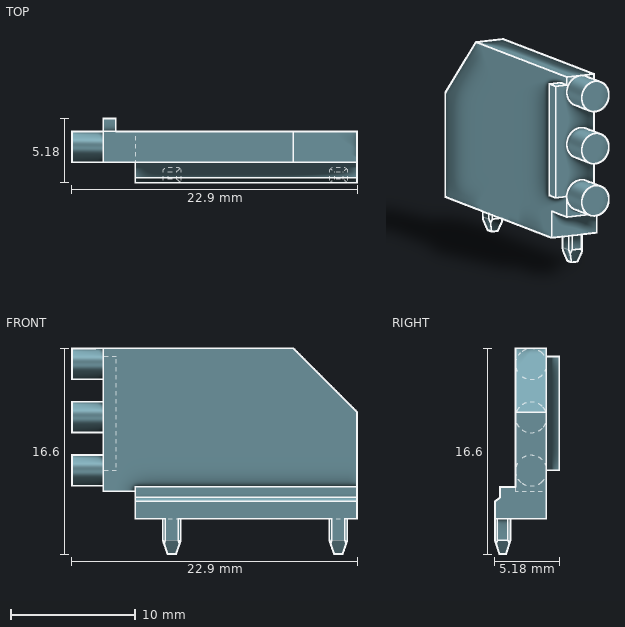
import cadquery as cq

total_length = 22.95

plate_left = 2.5
plate_depth = 2.5
plate_bottom = 2.2
plate_top = 13.72
corner_cut = 5.15

pipe_diameter = plate_depth
pipe_pitch = 4.3
pipe_count = 3
top_pipe_z = plate_top - pipe_diameter / 2
bottom_pipe_z = top_pipe_z - (pipe_count - 1) * pipe_pitch

rib_size = 1.03
rib_height = 9.18

foot_left = 5.07
foot_top = 2.57
ledge_depth = 1.25
foot_overhang = 1.65
ledge_bottom = 1.72
slope_bottom = 1.4

pin_x_centres = (8.03, 21.43)
pin_width = 1.47
pin_depth = 1.26
pin_corner = 0.2
pin_length = 2.85
tip_length = 1.12
tip_width = 0.69
tip_depth = 0.55


def make_plate():
    return (
        cq.Workplane("XY")
        .box(total_length - plate_left, plate_depth, plate_top - plate_bottom, centered=False)
        .translate((plate_left, 0, plate_bottom))
        .edges(">X and >Z")
        .chamfer(corner_cut)
    )


def make_pipe(centre_z):
    return (
        cq.Workplane("YZ")
        .center(plate_depth / 2, centre_z)
        .circle(pipe_diameter / 2)
        .extrude(plate_left)
    )


def make_rib():
    return (
        cq.Workplane("XY")
        .box(rib_size, rib_size, rib_height, centered=False)
        .translate((plate_left, plate_depth, bottom_pipe_z))
    )


def make_foot():
    profile = [
        (plate_depth, 0),
        (plate_depth, foot_top),
        (-ledge_depth, foot_top),
        (-ledge_depth, ledge_bottom),
        (-foot_overhang, slope_bottom),
        (-foot_overhang, 0),
    ]
    return (
        cq.Workplane("YZ", origin=(foot_left, 0, 0))
        .polyline(profile)
        .close()
        .extrude(total_length - foot_left)
    )


def make_pin(centre_x):
    shank_length = pin_length - tip_length
    shank = cq.Workplane("XY").rect(pin_width, pin_depth).extrude(-shank_length)
    tip = (
        cq.Workplane("XY", origin=(0, 0, -shank_length))
        .rect(pin_width, pin_depth)
        .workplane(offset=-tip_length)
        .rect(tip_width, tip_depth)
        .loft()
    )
    bar = (
        cq.Workplane("XY")
        .rect(pin_width, pin_depth)
        .extrude(-pin_length)
        .edges("|Z")
        .chamfer(pin_corner)
    )
    pin = shank.union(tip).intersect(bar)
    return pin.translate((centre_x, pin_depth / 2 - foot_overhang, 0))


result = make_plate().union(make_foot()).union(make_rib())
for index in range(pipe_count):
    result = result.union(make_pipe(bottom_pipe_z + index * pipe_pitch))
for pin_x in pin_x_centres:
    result = result.union(make_pin(pin_x))